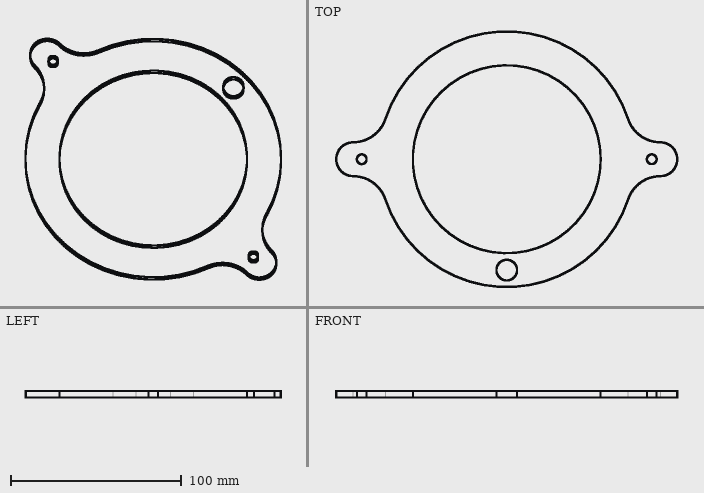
import cadquery as cq
import math

length = 200.0
thickness = 4.0
ring_radius = 75.0
bore_diameter = 110.0
lug_radius = 10.0
lug_hole_diameter = 5.5
lug_hole_x = 85.0
ring_hole_diameter = 12.0
ring_hole_y = -65.0

lug_x = length / 2 - lug_radius
blend_radius = (lug_x**2 + lug_radius**2 - ring_radius**2) / (2 * (ring_radius - lug_radius))
blend_y = lug_radius + blend_radius

blend_angle = math.atan2(blend_y, lug_x)
tangent_x = ring_radius * math.cos(blend_angle)
tangent_y = ring_radius * math.sin(blend_angle)

blend_mid_angle = (blend_angle + math.pi / 2) / 2
blend_mid_x = lug_x - blend_radius * math.cos(blend_mid_angle)
blend_mid_y = blend_y - blend_radius * math.sin(blend_mid_angle)


def make_plate():
    """Round plate with a lug at each end of the X axis, blended into the rim."""
    return (
        cq.Workplane("XY")
        .moveTo(tangent_x, tangent_y)
        .threePointArc((0, ring_radius), (-tangent_x, tangent_y))
        .threePointArc((-blend_mid_x, blend_mid_y), (-lug_x, lug_radius))
        .threePointArc((-length / 2, 0), (-lug_x, -lug_radius))
        .threePointArc((-blend_mid_x, -blend_mid_y), (-tangent_x, -tangent_y))
        .threePointArc((0, -ring_radius), (tangent_x, -tangent_y))
        .threePointArc((blend_mid_x, -blend_mid_y), (lug_x, -lug_radius))
        .threePointArc((length / 2, 0), (lug_x, lug_radius))
        .threePointArc((blend_mid_x, blend_mid_y), (tangent_x, tangent_y))
        .close()
        .extrude(thickness)
    )


def through_holes(centers, diameter):
    """Cutting cylinders through the full thickness."""
    return cq.Workplane("XY").pushPoints(centers).circle(diameter / 2).extrude(thickness)


bore = through_holes([(0, 0)], bore_diameter)
lug_holes = through_holes([(-lug_hole_x, 0), (lug_hole_x, 0)], lug_hole_diameter)
ring_hole = through_holes([(0, ring_hole_y)], ring_hole_diameter)

result = make_plate().cut(bore).cut(lug_holes).cut(ring_hole)